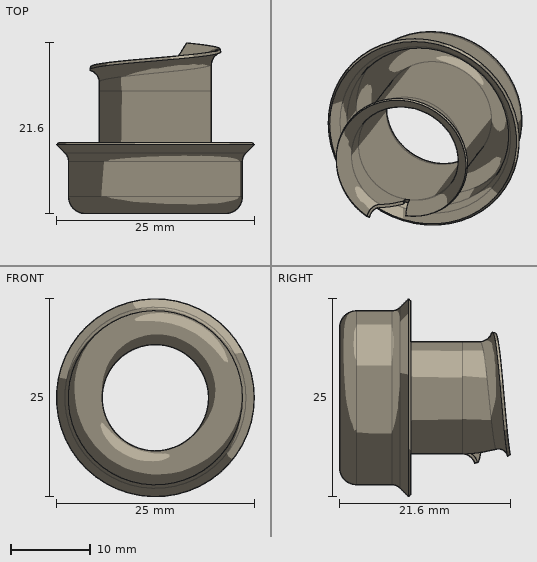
import cadquery as cq
import math

WALL = 0.4
SLEEVE_RADIUS = 22.0 / 2
TUBE_RADIUS = 14.2 / 2
SLEEVE_LENGTH = 9.0
TUBE_END = 15.5

FLANGE_RADIUS = 12.5
FLANGE_ANGLE = math.radians(45)
FLANGE_BEND = 1.5

HELIX_PITCH = 4.5
HELIX_TURN = 355.0
HELIX_START_ANGLE = 90.0
LIP_BEND = 1.6
LIP_ANGLE = math.radians(75)

STEP_FOOT = 0.15
STEP_SLANT = math.radians(32)

TUBE_BORE = TUBE_RADIUS - WALL
SLEEVE_BORE = SLEEVE_RADIUS - WALL


def across(point, angle):
    """Point on the inner side of the sheet opposite a point on its outer side."""
    return (point[0] - WALL * math.cos(angle), point[1] + WALL * math.sin(angle))


def bend_point(radius, height, bend, angle):
    """Point of an outward bend that starts axially at the given radius and height."""
    return (radius + bend * (1 - math.cos(angle)), height + bend * math.sin(angle))


def rolled_sleeve_and_tube():
    """Sleeve and tube of one sheet, joined by a half-round roll at the front."""
    roll_outer = (SLEEVE_RADIUS - TUBE_BORE) / 2
    roll_center = TUBE_BORE + roll_outer

    bend_rise = FLANGE_BEND * math.sin(FLANGE_ANGLE)
    bend_spread = FLANGE_BEND * (1 - math.cos(FLANGE_ANGLE))
    cone_spread = FLANGE_RADIUS - SLEEVE_RADIUS - bend_spread
    tip_height = SLEEVE_LENGTH - WALL * math.sin(FLANGE_ANGLE)
    bend_start = tip_height - cone_spread / math.tan(FLANGE_ANGLE) - bend_rise

    tip = (FLANGE_RADIUS, tip_height)
    half = FLANGE_ANGLE / 2
    outer_mid = bend_point(SLEEVE_RADIUS, bend_start, FLANGE_BEND, half)
    outer_end = bend_point(SLEEVE_RADIUS, bend_start, FLANGE_BEND, FLANGE_ANGLE)

    profile = (
        cq.Workplane("XZ")
        .moveTo(TUBE_BORE, TUBE_END)
        .lineTo(TUBE_BORE, roll_outer)
        .threePointArc((roll_center, 0), (SLEEVE_RADIUS, roll_outer))
        .lineTo(SLEEVE_RADIUS, bend_start)
        .threePointArc(outer_mid, outer_end)
        .lineTo(*tip)
        .lineTo(*across(tip, FLANGE_ANGLE))
        .lineTo(*across(outer_end, FLANGE_ANGLE))
        .threePointArc(across(outer_mid, half), (SLEEVE_BORE, bend_start))
        .lineTo(SLEEVE_BORE, roll_outer)
        .threePointArc((roll_center, WALL), (TUBE_RADIUS, roll_outer))
        .lineTo(TUBE_RADIUS, TUBE_END)
        .close()
    )
    return profile.revolve(360, (0, 0, 0), (0, 1, 0))


def helical_lip():
    """Tube wall with an outward lip, swept along a helix and trimmed at the plain tube."""
    skirt_bottom = TUBE_END - HELIX_PITCH - WALL
    half = LIP_ANGLE / 2
    outer_mid = bend_point(TUBE_RADIUS, TUBE_END, LIP_BEND, half)
    outer_end = bend_point(TUBE_RADIUS, TUBE_END, LIP_BEND, LIP_ANGLE)
    profile = (
        cq.Workplane("XZ")
        .moveTo(TUBE_RADIUS, skirt_bottom)
        .lineTo(TUBE_RADIUS, TUBE_END)
        .threePointArc(outer_mid, outer_end)
        .lineTo(*across(outer_end, LIP_ANGLE))
        .threePointArc(across(outer_mid, half), (TUBE_BORE, TUBE_END))
        .lineTo(TUBE_BORE, skirt_bottom)
        .close()
    )
    helix = cq.Wire.makeHelix(
        HELIX_PITCH, HELIX_PITCH * HELIX_TURN / 360, TUBE_RADIUS, cq.Vector(0, 0, TUBE_END)
    )
    swept = profile.sweep(cq.Workplane(obj=helix), isFrenet=True)
    swept = swept.rotate((0, 0, 0), (0, 0, 1), HELIX_START_ANGLE)

    plain_tube = cq.Workplane("XY").circle(SLEEVE_RADIUS).extrude(TUBE_END)
    return swept.cut(plain_tube)


def step_wedge():
    """Wedge that slants the high end of the helix away from the low end."""
    height = 2 * HELIX_PITCH
    top = TUBE_END + height
    step_top = STEP_FOOT + height * math.tan(STEP_SLANT)
    return (
        cq.Workplane("XZ")
        .moveTo(0, TUBE_END)
        .lineTo(STEP_FOOT, TUBE_END)
        .lineTo(step_top, top)
        .lineTo(0, top)
        .close()
        .extrude(-SLEEVE_RADIUS)
    )


lip = helical_lip().cut(step_wedge())
result = rolled_sleeve_and_tube().union(lip)
result = result.rotate((0, 0, 0), (1, 0, 0), -90)